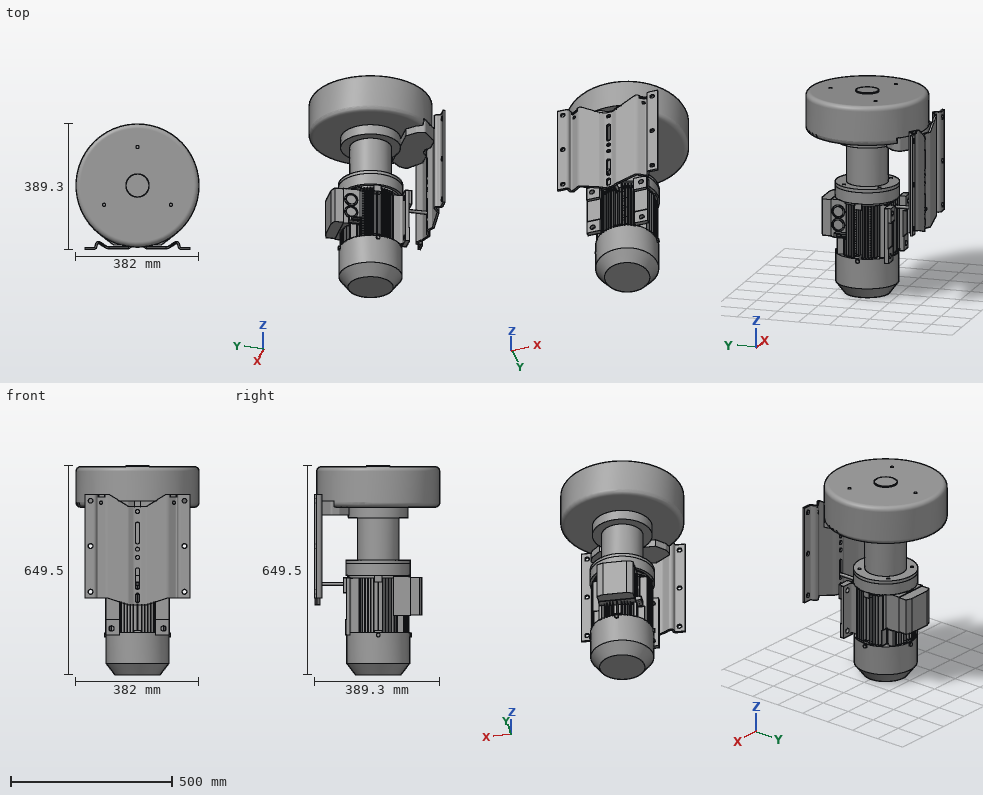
import cadquery as cq
import math

COVER_CONE_Z = 36.5
COVER_TOP_Z = 131.0
FIN_TOP_Z = 300.0
FRAME_TOP_Z = 308.5
MOTOR_FLANGE_TOP_Z = 345.5
PEDESTAL_FLANGE_TOP_Z = 356.0
COLLAR_BOTTOM_Z = 487.0
DRUM_BOTTOM_Z = 520.0
DRUM_TOP_Z = 646.0
TOP_Z = 649.5

DRUM_RADIUS = 191.0
DRUM_FILLET = 15.0
HUB_RADIUS = 36.5
HUB_CHAMFER = 1.0
COLLAR_RADIUS = 93.0
DRUM_HOLE_RADIUS = 4.9
DRUM_HOLE_DEPTH = 13.0
DRUM_HOLE_CIRCLE = 119.5
DRUM_HOLE_COUNT = 3
SADDLE_BOTTOM_Z = 495.5
SADDLE_TOP_Z = 540.0
SADDLE_CORNER_RADIUS = 8.0
SADDLE_LIP = (28.5, -184.5)
SADDLE_SHOULDER = (125.0, -145.0)
SADDLE_EAR = (117.0, -119.5)
SADDLE_OUTLINE = [(10.0, -171.0), SADDLE_LIP, (74.0, -184.5), SADDLE_SHOULDER, SADDLE_EAR, (88.5, -91.0)]
DRUM_RELIEF_Y = -138.0

TUBE_RADIUS = 65.0
FLANGE_RADIUS = 100.0
FLANGE_HOLE_RADIUS = 4.9
FLANGE_HOLE_CIRCLE = 82.0
FLANGE_HOLE_COUNT = 4

CORE_RADIUS = 75.0
NECK_RADIUS = 91.0
FIN_RADIUS = 95.0
FIN_THICKNESS = 2.0
FIN_PITCH = 9.0
FIRST_SIDE_FIN = 13.5
SIDE_FIN_COUNT = 5
LUG_WIDTH = 23.0
UPPER_LUG_HEIGHT = 21.0
LOWER_LUG_HEIGHT = 6.5
COVER_RADIUS = 98.0
COVER_END_RADIUS = 70.0
SCREW_RADIUS = 6.0
SCREW_Z = 124.0
SCREW_HEAD_REACH = 102.5
FOOT_INNER_X = 55.0
FOOT_OUTER_X = 99.0
FOOT_BACK_Y = -87.0
FOOT_FRONT_Y = -99.0
FOOT_BOTTOM_Z = 125.0
FOOT_TOP_Z = FIN_TOP_Z
UPPER_PAD_TOP_Z = 301.5
FOOT_PAD_HEIGHT = 47.0
UPPER_PAD_Y = -108.0
UPPER_PAD_INSET = 1.0
LOWER_PAD_Y = -101.0
FOOT_HOLE_RADIUS = 8.0
FOOT_HOLE_X = 80.0
UPPER_FOOT_HOLE_Z = 282.0
LOWER_FOOT_HOLE_Z = 144.0
LEG_INNER_X = 52.0
REAR_LEG_INNER_X = 43.5
LEG_OUTER_X = 60.0
LEG_INNER_Y = 59.0
LEG_BACK_Y = 78.5
LEG_FILLET = 7.0

BOX_HALF_WIDTH = 57.0
BOX_FRONT_Y = 48.0
LID_START_Y = 100.0
LID_CHAMFER_Y = 128.0
BOX_BACK_Y = 135.0
LID_CHAMFER_X = 19.5
LID_INSET_X = 0.5
BOX_BOTTOM_Z = 184.0
BOX_TOP_Z = 304.5
LID_INSET_Z = 2.0
GLAND_Y = 76.0
GLAND_Z = (267.0, 224.0)
GLAND_RADIUS = 21.0
GLAND_PLUG_RADIUS = 16.0
GLAND_HEIGHT = 2.0
LEDGE_REACH_X = 75.0
LEDGE_BACK_Y = 85.0
LEDGE_BOTTOM_Z = 187.0
LEDGE_TOP_Z = 201.0
LEDGE_WALL = 3.0
LEDGE_POCKET_DEPTH = 10.0

SHEET = 6.5
PLATE_HALF_WIDTH = 163.0
PLATE_TOP_Z = 560.0
PLATE_BOTTOM_Z = 238.5
PLATE_MIDDLE_HALF_WIDTH = 27.0
PLATE_MIDDLE_TOP_Z = 521.5
PLATE_MIDDLE_BOTTOM_Z = 217.0
PLATE_TOP_SLANT_X = 88.5
PLATE_BOTTOM_SLANT_X = 92.0
HALF_BENDS = [(12.0, -183.0), (28.5, -193.0), (94.0, -193.0), (125.5, -172.0), (130.0, -195.0)]
HALF_BEND_INNER_RADII = [13.0, 4.0, 15.0, 4.0, 4.0]
EDGE_Y = -195.0
MOUNT_HOLE_X = 145.5
MOUNT_HOLE_RADIUS = 7.0
MOUNT_HOLE_Z = (258.0, 399.5, 540.0)
WEB_OPENING_WIDTH = 12.5
WEB_HOLE_Z = (364.5, 390.0, 507.0)
WEB_SLOTS_Z = ((224.0, 253.0), (265.0, 332.0), (406.0, 473.5))
NOTCH_INNER_X = 100.0
NOTCH_OUTER_X = 119.5
NOTCH_DEPTH = 8.5
RIB_HOLE_X = 113.0
RIB_HOLE_Z = 533.0
RIB_HOLE_RADIUS = 4.5

STUD_RADIUS = 4.9
STUD_Z = 282.0
STUD_BACK_Y = -92.0
STUD_FRONT_Y = -191.5


def box(x0, x1, y0, y1, z0, z1):
    """Box between two opposite corners."""
    return cq.Workplane("XY").box(x1 - x0, y1 - y0, z1 - z0, centered=False).translate((x0, y0, z0))


def disc(radius, z0, z1):
    """Upright cylinder about the machine axis."""
    return cq.Workplane("XY").workplane(offset=z0).circle(radius).extrude(z1 - z0)


def along_y(x, z, radius, y0, y1):
    """Cylinder parallel to Y, from y0 to the larger y1."""
    return cq.Workplane("XZ", origin=(x, y0, z)).circle(radius).extrude(y0 - y1)


def round_upright_edge(solid, corner, z, radius):
    """Round the upright edge that stands at a plan corner and passes height z."""
    return solid.edges(cq.selectors.NearestToPointSelector((*corner, z))).fillet(radius)


def make_saddle():
    """Block under the drum's front that reaches to the plate, recessed for the plate's channel."""
    left = [(-x, y) for x, y in reversed(SADDLE_OUTLINE)]
    saddle = cq.Workplane("XY").workplane(offset=SADDLE_BOTTOM_Z).polyline(SADDLE_OUTLINE + left).close()
    saddle = saddle.extrude(SADDLE_TOP_Z - SADDLE_BOTTOM_Z)
    middle_z = (SADDLE_BOTTOM_Z + SADDLE_TOP_Z) / 2
    for x, y in (SADDLE_LIP, SADDLE_SHOULDER, SADDLE_EAR):
        for side in (-1, 1):
            saddle = round_upright_edge(saddle, (side * x, y), middle_z, SADDLE_CORNER_RADIUS)
    return saddle


def make_housing():
    drum = disc(DRUM_RADIUS, DRUM_BOTTOM_Z, DRUM_TOP_Z).edges().fillet(DRUM_FILLET)
    relief = box(-DRUM_RADIUS, DRUM_RADIUS, -DRUM_RADIUS, DRUM_RELIEF_Y, DRUM_BOTTOM_Z, SADDLE_TOP_Z)
    hub = disc(HUB_RADIUS, DRUM_TOP_Z, TOP_Z).faces(">Z").edges().chamfer(HUB_CHAMFER)
    collar = disc(COLLAR_RADIUS, COLLAR_BOTTOM_Z, DRUM_BOTTOM_Z)
    housing = drum.cut(relief).union(collar).union(make_saddle()).union(hub)
    holes = (
        cq.Workplane("XY")
        .workplane(offset=DRUM_TOP_Z - DRUM_HOLE_DEPTH)
        .polarArray(DRUM_HOLE_CIRCLE, 90, 360, DRUM_HOLE_COUNT)
        .circle(DRUM_HOLE_RADIUS)
        .extrude(DRUM_HOLE_DEPTH)
    )
    return housing.cut(holes)


def make_pedestal():
    tube = disc(TUBE_RADIUS, PEDESTAL_FLANGE_TOP_Z, COLLAR_BOTTOM_Z)
    flange = disc(FLANGE_RADIUS, MOTOR_FLANGE_TOP_Z, PEDESTAL_FLANGE_TOP_Z)
    holes = (
        cq.Workplane("XY")
        .workplane(offset=MOTOR_FLANGE_TOP_Z)
        .polarArray(FLANGE_HOLE_CIRCLE, 45, 360, FLANGE_HOLE_COUNT)
        .circle(FLANGE_HOLE_RADIUS)
        .extrude(PEDESTAL_FLANGE_TOP_Z - MOTOR_FLANGE_TOP_Z)
    )
    return tube.union(flange.cut(holes))


def make_fins():
    """Thin parallel fins on the four sides, trimmed to a round envelope."""
    half = FIN_THICKNESS / 2
    side = [FIRST_SIDE_FIN + i * FIN_PITCH for i in range(SIDE_FIN_COUNT)]
    offsets = [0] + side + [-s for s in side]
    fins = cq.Workplane("XY")
    for s in offsets:
        fins = fins.union(box(s - half, s + half, -FIN_RADIUS, FIN_RADIUS, COVER_TOP_Z, FIN_TOP_Z))
        fins = fins.union(box(-FIN_RADIUS, FIN_RADIUS, s - half, s + half, COVER_TOP_Z, FIN_TOP_Z))
    return fins.intersect(disc(FIN_RADIUS, COVER_TOP_Z, FIN_TOP_Z))


def make_lugs():
    """Blocks at the top and bottom of the middle fin on each side."""
    half = LUG_WIDTH / 2
    lugs = cq.Workplane("XY")
    upper = (FRAME_TOP_Z - UPPER_LUG_HEIGHT, FRAME_TOP_Z)
    lower = (COVER_TOP_Z, COVER_TOP_Z + LOWER_LUG_HEIGHT)
    for z0, z1 in (upper, lower):
        lugs = lugs.union(box(-half, half, -FIN_RADIUS, FIN_RADIUS, z0, z1))
        lugs = lugs.union(box(-FIN_RADIUS, FIN_RADIUS, -half, half, z0, z1))
    return lugs


def make_foot():
    """Right-hand foot rail with a raised, drilled pad at each end."""
    pads = (
        (UPPER_PAD_TOP_Z - FOOT_PAD_HEIGHT, UPPER_PAD_Y, UPPER_FOOT_HOLE_Z, UPPER_PAD_INSET),
        (FOOT_BOTTOM_Z, LOWER_PAD_Y, LOWER_FOOT_HOLE_Z, 0),
    )
    foot = box(FOOT_INNER_X, FOOT_OUTER_X, FOOT_FRONT_Y, FOOT_BACK_Y, FOOT_BOTTOM_Z, FOOT_TOP_Z)
    for z, pad_y, hole_z, inset in pads:
        pad_outer_x = FOOT_OUTER_X - inset
        foot = foot.union(box(FOOT_INNER_X, pad_outer_x, pad_y, FOOT_BACK_Y, z, z + FOOT_PAD_HEIGHT))
        foot = foot.cut(along_y(FOOT_HOLE_X, hole_z, FOOT_HOLE_RADIUS, pad_y, FOOT_BACK_Y))
    leg = box(LEG_INNER_X, LEG_OUTER_X, FOOT_BACK_Y, -LEG_INNER_Y, COVER_TOP_Z, FIN_TOP_Z)
    rear_leg = box(REAR_LEG_INNER_X, LEG_OUTER_X, LEG_INNER_Y, LEG_BACK_Y, COVER_TOP_Z, FIN_TOP_Z)
    foot = foot.union(leg)
    middle_z = (COVER_TOP_Z + FIN_TOP_Z) / 2
    foot = round_upright_edge(foot, (LEG_OUTER_X, FOOT_BACK_Y), middle_z, LEG_FILLET)
    return foot.union(rear_leg)


def make_motor():
    foot = make_foot()
    motor = disc(CORE_RADIUS, COVER_TOP_Z, FIN_TOP_Z)
    motor = motor.union(disc(NECK_RADIUS, FIN_TOP_Z, FRAME_TOP_Z))
    motor = motor.union(disc(FLANGE_RADIUS, FRAME_TOP_Z, MOTOR_FLANGE_TOP_Z))
    motor = motor.union(make_fins()).union(make_lugs())
    motor = motor.union(foot).union(foot.mirror("YZ"))
    box_recess = box(-FOOT_OUTER_X, FOOT_OUTER_X, BOX_FRONT_Y, FLANGE_RADIUS, BOX_BOTTOM_Z, BOX_TOP_Z)
    return motor.cut(box_recess)


def make_fan_cover():
    profile = [
        (0, 0),
        (-COVER_END_RADIUS, 0),
        (-COVER_RADIUS, COVER_CONE_Z),
        (-COVER_RADIUS, COVER_TOP_Z),
        (0, COVER_TOP_Z),
    ]
    cover = cq.Workplane("YZ").polyline(profile).close().revolve(360, (0, 0), (0, 1))
    for angle in (0, 90, 180):
        screw = cq.Workplane("YZ").center(0, SCREW_Z).circle(SCREW_RADIUS).extrude(SCREW_HEAD_REACH)
        cover = cover.union(screw.rotate((0, 0, 0), (0, 0, 1), angle))
    return cover


def make_terminal_box():
    main = box(-BOX_HALF_WIDTH, BOX_HALF_WIDTH, BOX_FRONT_Y, LID_START_Y, BOX_BOTTOM_Z, BOX_TOP_Z)
    lid_half_width = BOX_HALF_WIDTH - LID_INSET_X
    back_half_width = lid_half_width - LID_CHAMFER_X
    lid_outline = [
        (-lid_half_width, LID_START_Y),
        (-lid_half_width, LID_CHAMFER_Y),
        (-back_half_width, BOX_BACK_Y),
        (back_half_width, BOX_BACK_Y),
        (lid_half_width, LID_CHAMFER_Y),
        (lid_half_width, LID_START_Y),
    ]
    lid_height = BOX_TOP_Z - BOX_BOTTOM_Z - 2 * LID_INSET_Z
    lid = cq.Workplane("XY").workplane(offset=BOX_BOTTOM_Z + LID_INSET_Z)
    lid = lid.polyline(lid_outline).close().extrude(lid_height)
    ledge = box(-LEDGE_REACH_X, 0, BOX_FRONT_Y, LEDGE_BACK_Y, LEDGE_BOTTOM_Z, LEDGE_TOP_Z)
    pocket = box(
        -LEDGE_REACH_X,
        LEDGE_POCKET_DEPTH - LEDGE_REACH_X,
        BOX_FRONT_Y,
        LEDGE_BACK_Y - 2 * LEDGE_WALL,
        LEDGE_BOTTOM_Z + LEDGE_WALL,
        LEDGE_TOP_Z - LEDGE_WALL,
    )
    terminal_box = main.union(lid).union(ledge.cut(pocket))
    for z in GLAND_Z:
        side = cq.Workplane("YZ", origin=(-BOX_HALF_WIDTH, GLAND_Y, z))
        terminal_box = terminal_box.union(side.circle(GLAND_RADIUS).extrude(-GLAND_HEIGHT))
        terminal_box = terminal_box.union(side.circle(GLAND_PLUG_RADIUS).extrude(-2 * GLAND_HEIGHT))
    return terminal_box


def direction(start, end):
    """Unit vector from one point to another."""
    length = math.hypot(end[0] - start[0], end[1] - start[1])
    return ((end[0] - start[0]) / length, (end[1] - start[1]) / length)


def offset_line(path, distance):
    """Path moved sideways (left of travel is positive), with mitred corners."""
    moved = []
    for i, (x, y) in enumerate(path):
        before = direction(path[max(i - 1, 0)], path[max(i, 1)])
        after = direction(path[min(i, len(path) - 2)], path[min(i + 1, len(path) - 1)])
        share = distance / (1 + before[0] * after[0] + before[1] * after[1])
        moved.append((x - share * (before[1] + after[1]), y + share * (before[0] + after[0])))
    return moved


def make_bent_sheet():
    """Full-height sheet with its rounded bends."""
    half = HALF_BENDS + [(PLATE_HALF_WIDTH, EDGE_Y)]
    radii = HALF_BEND_INNER_RADII[::-1] + HALF_BEND_INNER_RADII
    path = [(-x, y) for x, y in reversed(half)] + half
    back = offset_line(path, SHEET / 2)
    front = offset_line(path, -SHEET / 2)
    height = PLATE_TOP_Z - PLATE_MIDDLE_BOTTOM_Z
    sheet = cq.Workplane("XY").workplane(offset=PLATE_MIDDLE_BOTTOM_Z)
    sheet = sheet.polyline(back + front[::-1]).close().extrude(height)
    middle_z = PLATE_MIDDLE_BOTTOM_Z + height / 2
    for i, radius in enumerate(radii, start=1):
        before = direction(path[i - 1], path[i])
        after = direction(path[i], path[i + 1])
        turns_left = before[0] * after[1] - before[1] * after[0] > 0
        inner, outer = (back[i], front[i]) if turns_left else (front[i], back[i])
        sheet = round_upright_edge(sheet, inner, middle_z, radius)
        sheet = round_upright_edge(sheet, outer, middle_z, radius + SHEET)
    return sheet


def make_plate_front_shape():
    """Block with the plate's outline seen square on: a lowered middle and stepped-down tail."""
    right = [
        (PLATE_MIDDLE_HALF_WIDTH, PLATE_MIDDLE_BOTTOM_Z),
        (PLATE_BOTTOM_SLANT_X, PLATE_BOTTOM_Z),
        (PLATE_HALF_WIDTH, PLATE_BOTTOM_Z),
        (PLATE_HALF_WIDTH, PLATE_TOP_Z),
        (PLATE_TOP_SLANT_X, PLATE_TOP_Z),
        (PLATE_MIDDLE_HALF_WIDTH, PLATE_MIDDLE_TOP_Z),
    ]
    left = [(-x, z) for x, z in reversed(right)]
    depth = -EDGE_Y + SHEET
    return cq.Workplane("XZ").polyline(right + left).close().extrude(depth)


def make_notch():
    """Pocket half a sheet deep in the front of the right rib's slope, open at the plate's top edge."""
    foot, peak = HALF_BENDS[2], HALF_BENDS[3]
    slope = direction(foot, peak)
    floor = []
    for x in (NOTCH_INNER_X, NOTCH_OUTER_X):
        floor.append((x, foot[1] + (x - foot[0]) * slope[1] / slope[0]))
    mouth = [(x + SHEET * slope[1], y - SHEET * slope[0]) for x, y in reversed(floor)]
    notch = cq.Workplane("XY").workplane(offset=PLATE_TOP_Z - NOTCH_DEPTH)
    return notch.polyline(floor + mouth).close().extrude(NOTCH_DEPTH)


def make_plate_openings():
    front_y = EDGE_Y - SHEET
    notch = make_notch()
    openings = notch.union(notch.mirror("YZ"))
    for z in WEB_HOLE_Z:
        openings = openings.union(along_y(0, z, WEB_OPENING_WIDTH / 2, front_y, 0))
    for z0, z1 in WEB_SLOTS_Z:
        slot = cq.Workplane("XZ", origin=(0, 0, (z0 + z1) / 2))
        openings = openings.union(slot.slot2D(z1 - z0, WEB_OPENING_WIDTH, 90).extrude(-front_y))
    for side in (-1, 1):
        for z in MOUNT_HOLE_Z:
            openings = openings.union(along_y(side * MOUNT_HOLE_X, z, MOUNT_HOLE_RADIUS, front_y, 0))
        openings = openings.union(along_y(side * RIB_HOLE_X, RIB_HOLE_Z, RIB_HOLE_RADIUS, front_y, 0))
    return openings


def make_plate():
    return make_bent_sheet().intersect(make_plate_front_shape()).cut(make_plate_openings())


def make_stud():
    return along_y(0, STUD_Z, STUD_RADIUS, STUD_FRONT_Y, STUD_BACK_Y)


housing = make_housing()
pedestal = make_pedestal()
stud = make_stud()
motor = make_motor().cut(stud)
fan_cover = make_fan_cover().cut(motor)
terminal_box = make_terminal_box()
plate = make_plate()

bodies = [housing, pedestal, motor, fan_cover, terminal_box, plate, stud]
result = cq.Compound.makeCompound([body.val() for body in bodies])